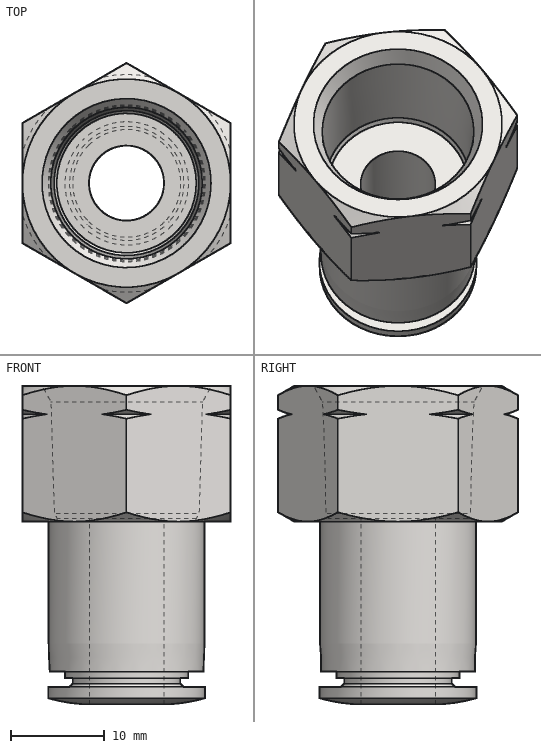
import cadquery as cq
import math

TOTAL_HEIGHT = 34.0
HEX_BOTTOM_Z = 19.5
HEX_HEIGHT = TOTAL_HEIGHT - HEX_BOTTOM_Z

ACROSS_FLATS = 22.25
FLAT_RADIUS = ACROSS_FLATS / 2
CORNER_RADIUS = FLAT_RADIUS / math.cos(math.radians(30))
CORNER_CHAMFER_ANGLE = 30.0
CORNER_DROP = (CORNER_RADIUS - FLAT_RADIUS) * math.tan(math.radians(CORNER_CHAMFER_ANGLE))

GROOVE_Z = 30.97
GROOVE_ROOT_RADIUS = 11.63
GROOVE_HALF_WIDTH = 0.48

BODY_RADIUS = 16.7 / 2
BODY_END_RADIUS = 16.45 / 2
TAPER_START_Z = 6.5
BODY_BOTTOM_Z = 3.5

COLLAR_RADIUS = 13.2 / 2
COLLAR_BOTTOM_Z = 2.8
NECK_RADIUS = 11.53 / 2
NECK_CHAMFER = 0.35
FLANGE_RADIUS = 16.8 / 2
FLANGE_TOP_Z = 1.87
FLANGE_EDGE_Z = 0.65
FLANGE_FACE_RADIUS = 9.52 / 2
FLANGE_CROWN_RISE = 0.1

MOUTH_RADIUS = 18.05 / 2
THREAD_TOP_RADIUS = 16.2 / 2
THREAD_BOTTOM_RADIUS = 15.47 / 2
MOUTH_DEPTH = 1.7
THREAD_LENGTH = 11.9
FLOOR_RADIUS = 14.9 / 2
FLOOR_CHAMFER_HEIGHT = 0.5
PASSAGE_RADIUS = 8.0 / 2


def revolve_profile(profile):
    """Revolve a closed radius-height profile around the Z axis."""
    return profile.close().revolve(360, (0, 0, 0), (0, 1, 0))


def make_head():
    """Hexagon with corners on the Y axis, chamfered at both ends and nicked by the groove."""
    hexagon = (
        cq.Workplane("XY", origin=(0, 0, HEX_BOTTOM_Z))
        .polygon(6, 2 * CORNER_RADIUS)
        .extrude(HEX_HEIGHT)
        .rotate((0, 0, 0), (0, 0, 1), 30)
    )
    chamfer_envelope = revolve_profile(
        cq.Workplane("XZ")
        .moveTo(0, HEX_BOTTOM_Z)
        .lineTo(FLAT_RADIUS, HEX_BOTTOM_Z)
        .lineTo(CORNER_RADIUS, HEX_BOTTOM_Z + CORNER_DROP)
        .lineTo(CORNER_RADIUS, GROOVE_Z - GROOVE_HALF_WIDTH)
        .lineTo(GROOVE_ROOT_RADIUS, GROOVE_Z)
        .lineTo(CORNER_RADIUS, GROOVE_Z + GROOVE_HALF_WIDTH)
        .lineTo(CORNER_RADIUS, TOTAL_HEIGHT - CORNER_DROP)
        .lineTo(FLAT_RADIUS, TOTAL_HEIGHT)
        .lineTo(0, TOTAL_HEIGHT)
    )
    return hexagon.intersect(chamfer_envelope)


def make_body():
    """Body, collar neck and flange with a slightly crowned lower face."""
    crown_point = (
        (FLANGE_FACE_RADIUS + FLANGE_RADIUS) / 2,
        FLANGE_EDGE_Z / 2 - FLANGE_CROWN_RISE,
    )
    return revolve_profile(
        cq.Workplane("XZ")
        .moveTo(0, 0)
        .lineTo(FLANGE_FACE_RADIUS, 0)
        .threePointArc(crown_point, (FLANGE_RADIUS, FLANGE_EDGE_Z))
        .lineTo(FLANGE_RADIUS, FLANGE_TOP_Z)
        .lineTo(NECK_RADIUS + NECK_CHAMFER, FLANGE_TOP_Z)
        .lineTo(NECK_RADIUS, FLANGE_TOP_Z + NECK_CHAMFER)
        .lineTo(NECK_RADIUS, COLLAR_BOTTOM_Z)
        .lineTo(COLLAR_RADIUS, COLLAR_BOTTOM_Z)
        .lineTo(COLLAR_RADIUS, BODY_BOTTOM_Z)
        .lineTo(BODY_END_RADIUS, BODY_BOTTOM_Z)
        .lineTo(BODY_RADIUS, TAPER_START_Z)
        .lineTo(BODY_RADIUS, HEX_BOTTOM_Z)
        .lineTo(0, HEX_BOTTOM_Z)
    )


def make_bore():
    """Countersunk mouth, tapered thread bore, chamfered floor and through passage."""
    mouth_bottom_z = TOTAL_HEIGHT - MOUTH_DEPTH
    thread_bottom_z = mouth_bottom_z - THREAD_LENGTH
    floor_z = thread_bottom_z - FLOOR_CHAMFER_HEIGHT
    return revolve_profile(
        cq.Workplane("XZ")
        .moveTo(0, 0)
        .lineTo(PASSAGE_RADIUS, 0)
        .lineTo(PASSAGE_RADIUS, floor_z)
        .lineTo(FLOOR_RADIUS, floor_z)
        .lineTo(THREAD_BOTTOM_RADIUS, thread_bottom_z)
        .lineTo(THREAD_TOP_RADIUS, mouth_bottom_z)
        .lineTo(MOUTH_RADIUS, TOTAL_HEIGHT)
        .lineTo(0, TOTAL_HEIGHT)
    )


result = make_head().union(make_body()).cut(make_bore())